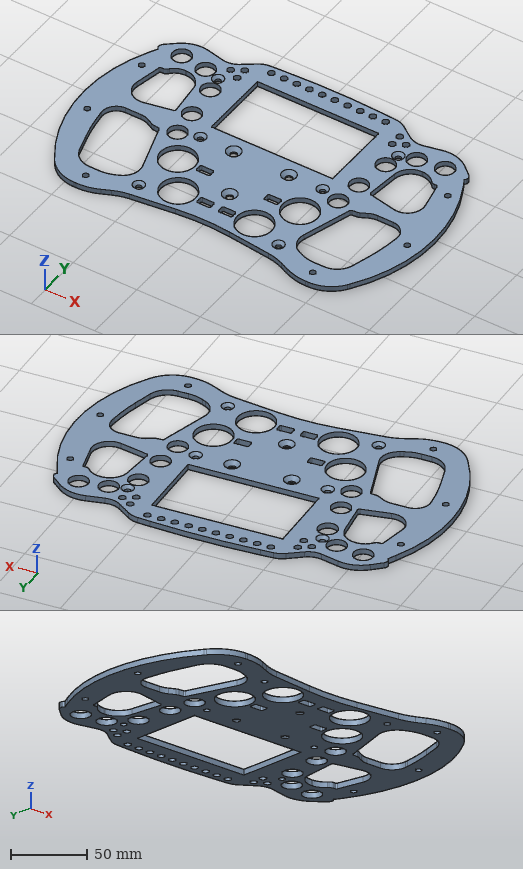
import cadquery as cq
import math

LENGTH = 275.0
HEIGHT = 171.3
THICKNESS = 4.0

SIDE_RADIUS = 119.5
SIDE_CENTER = (SIDE_RADIUS - LENGTH / 2, -4.0)
CROWN_RADIUS = 660.0
CROWN_CENTER = (0, HEIGHT / 2 - CROWN_RADIUS)
ARCH_RADIUS = 178.7
ARCH_TOP = -70.5
ARCH_CENTER = (0, ARCH_TOP - ARCH_RADIUS)

SHOULDER = (-54.0, 83.5, 15.0)
DIP = (-72.5, 70.5, 14.5)
LOBE = (-104.0, 77.3, 24.7)
TIP = (-121.5, 62.5, 4.0)
NOTCH_TOP = (-121.8, 59.5, 1.0)
NOTCH = (-120.5, 57.7, 0)
GRIP_OUTER = (-107.0, -HEIGHT / 2, 28.3)
GRIP_INNER = (-81.5, -HEIGHT / 2, 41.2)
ARCH_END = (-61.0, -76.5, 41.2)

UPPER_OPENING = [
    (-99.3, 49.2, 13.2),
    (-80.5, 49.2, 13.5),
    (-76.5, 11.5, 1.5),
    (-117.5, 3.3, 12.6),
    (-109.2, 43.0, 1.0),
    (-105.0, 43.0, 4.0),
]
LOWER_OPENING = [
    (-117.5, -4.0, 11.0),
    (-89.5, -4.0, 13.7),
    (-81.0, -8.5, 5.5),
    (-75.3, -9.0, 1.0),
    (-60.0, -58.3, 13.5),
    (-79.0, -66.8, 27.5),
    (-104.2, -66.5, 15.7),
    (-114.7, -30.2, 137.5),
]

WINDOW_SIZE = (95.5, 55.0)
WINDOW_Y = 38.5

LIGHT_COUNT = 10
LIGHT_ROW_LENGTH = 90.0
LIGHT_ROW_Y = 78.5
LIGHT_DIAMETER = 5.0

SIDE_LIGHTS = [(-61.0, 71.0), (-69.0, 66.3), (-61.0, 62.0)]
RIM_HOLES = [(-120.5, 38.2), (-126.0, -18.5), (-89.4, -75.5)]
RIM_HOLE_DIAMETER = 4.5
BUTTON_HOLES = [(-103.7, 60.5), (-83.0, 57.7), (-69.0, 42.0), (-65.7, 15.0), (-63.2, -5.8)]
BUTTON_DIAMETER = 14.0
KNOB_HOLES = [(-48.0, -28.3), (-30.0, -55.3)]
KNOB_DIAMETER = 27.0

SMALL_SCREWS = [(-71.0, 54.2), (-48.0, -1.5), (-55.0, -64.3)]
SMALL_SCREW_DIAMETER = 4.5
SMALL_HEAD_DIAMETER = 8.8
LARGE_SCREWS = [(-21.7, -1.6)]
CENTER_SCREW = (0, -39.3)
LARGE_SCREW_DIAMETER = 5.2
LARGE_HEAD_DIAMETER = 11.0
COUNTERSINK_ANGLE = 90

SLOT_SIZE = (10.7, 5.8)
SLOT_CORNER_RADIUS = 1.0
SLOTS = [(-26.7, -28.3), (-8.5, -55.3)]


def mirrored(points):
    """The points followed by their mirror images across the YZ plane."""
    return points + [(-x, y) for x, y in points]


def mirrored_corner(corner):
    """The (x, y, radius) corner on the other side of the YZ plane."""
    x, y, radius = corner
    return (-x, y, radius)


def tangent_apex(center, radius, before, after):
    """Corner where the tangents from two outside points to a circle meet."""

    def direction(point):
        return math.atan2(point[1] - center[1], point[0] - center[0]) % (2 * math.pi)

    def tangent_offset(point):
        return math.acos(radius / math.dist(center, point[:2]))

    first, second = sorted([before, after], key=direction)
    start = direction(first) + tangent_offset(first)
    end = direction(second) - tangent_offset(second)
    middle = (start + end) / 2
    reach = radius / math.cos((end - start) / 2)
    return (center[0] + reach * math.cos(middle), center[1] + reach * math.sin(middle))


def rounded_corner(before, corner, after):
    """Start, middle and end of the arc that rounds one (x, y, radius) corner."""
    origin = cq.Vector(corner[0], corner[1])
    to_before = (cq.Vector(before[0], before[1]) - origin).normalized()
    to_after = (cq.Vector(after[0], after[1]) - origin).normalized()
    half_angle = to_before.getAngle(to_after) / 2
    setback = corner[2] / math.tan(half_angle)
    bulge = corner[2] / math.sin(half_angle) - corner[2]
    inward = (to_before + to_after).normalized()
    return origin + to_before * setback, origin + inward * bulge, origin + to_after * setback


def rounded_plate(corners):
    """Plate whose outline is a polygon of (x, y, radius) corners; radius 0 stays sharp."""
    count = len(corners)
    edges = []
    arcs = [
        rounded_corner(corners[i - 1], corners[i], corners[(i + 1) % count])
        for i in range(count)
    ]
    for i, (start, middle, end) in enumerate(arcs):
        if corners[i][2] > 0:
            edges.append(cq.Edge.makeThreePointArc(start, middle, end))
        edges.append(cq.Edge.makeLine(end, arcs[(i + 1) % count][0]))
    outline = cq.Wire.assembleEdges(edges)
    return cq.Workplane("XY").add(outline).toPending().extrude(THICKNESS / 2, both=True)


def make_blank():
    side = tangent_apex(SIDE_CENTER, SIDE_RADIUS, NOTCH, GRIP_OUTER)
    crown = tangent_apex(CROWN_CENTER, CROWN_RADIUS, SHOULDER, mirrored_corner(SHOULDER))
    arch = tangent_apex(ARCH_CENTER, ARCH_RADIUS, ARCH_END, mirrored_corner(ARCH_END))
    left = [
        SHOULDER,
        DIP,
        LOBE,
        TIP,
        NOTCH_TOP,
        NOTCH,
        (*side, SIDE_RADIUS),
        GRIP_OUTER,
        GRIP_INNER,
        ARCH_END,
    ]
    right = [mirrored_corner(corner) for corner in reversed(left)]
    return rounded_plate([(*crown, CROWN_RADIUS)] + left + [(*arch, ARCH_RADIUS)] + right)


def cut_hand_openings(plate):
    for corners in (UPPER_OPENING, LOWER_OPENING):
        opening = rounded_plate(corners)
        plate = plate.cut(opening).cut(opening.mirror("YZ"))
    return plate


def cut_window(plate):
    window = cq.Workplane("XY").center(0, WINDOW_Y).box(*WINDOW_SIZE, THICKNESS)
    return plate.cut(window)


def cut_slots(plate):
    slot = cq.Workplane("XY").box(*SLOT_SIZE, THICKNESS).edges("|Z").fillet(SLOT_CORNER_RADIUS)
    for x, y in mirrored(SLOTS):
        plate = plate.cut(slot.translate((x, y, 0)))
    return plate


def on_top(plate, points):
    """Drilling positions on the upper face."""
    top = plate.faces(">Z").workplane(origin=(0, 0, THICKNESS / 2))
    return top.pushPoints(points)


def drill_holes(plate):
    pitch = LIGHT_ROW_LENGTH / (LIGHT_COUNT - 1)
    light_row = [(i * pitch - LIGHT_ROW_LENGTH / 2, LIGHT_ROW_Y) for i in range(LIGHT_COUNT)]
    for points, diameter in (
        (light_row + mirrored(SIDE_LIGHTS), LIGHT_DIAMETER),
        (mirrored(RIM_HOLES), RIM_HOLE_DIAMETER),
        (mirrored(BUTTON_HOLES), BUTTON_DIAMETER),
        (mirrored(KNOB_HOLES), KNOB_DIAMETER),
    ):
        plate = on_top(plate, points).hole(diameter)
    return plate


def drill_screw_holes(plate):
    for points, diameter, head in (
        (mirrored(SMALL_SCREWS), SMALL_SCREW_DIAMETER, SMALL_HEAD_DIAMETER),
        (mirrored(LARGE_SCREWS) + [CENTER_SCREW], LARGE_SCREW_DIAMETER, LARGE_HEAD_DIAMETER),
    ):
        plate = on_top(plate, points).cskHole(diameter, head, COUNTERSINK_ANGLE)
    return plate


result = make_blank()
result = cut_hand_openings(result)
result = cut_window(result)
result = cut_slots(result)
result = drill_holes(result)
result = drill_screw_holes(result)